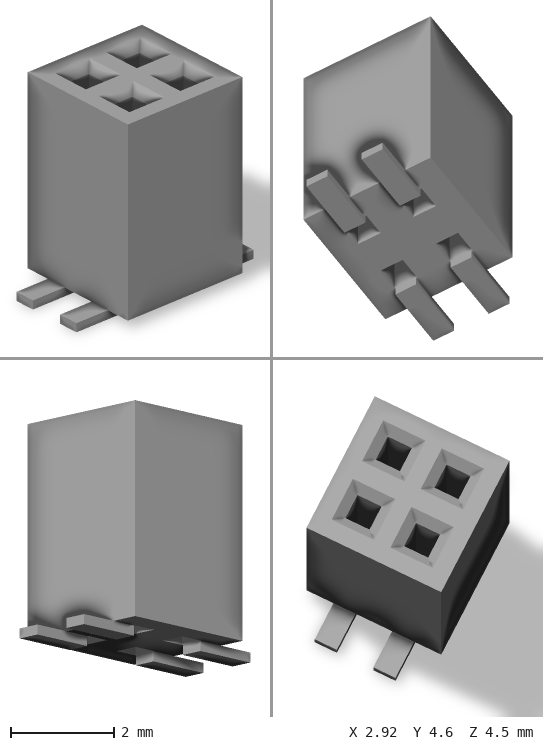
import cadquery as cq

body_x = 2.92
body_y = 2.97
body_height = 4.3

pitch_x = 1.27
pitch_y = 1.32
cavity_size = 0.52
mouth_size = 0.92
mouth_depth = 0.2

tail_width = 0.48
tail_length = 1.38
tail_thickness = 0.2
tail_span = 4.6

tail_center_y = (tail_span - tail_length) / 2
SIDES = (-1, 1)


def make_housing():
    """Plain block standing on top of the solder tails."""
    return (
        cq.Workplane("XY", origin=(0, 0, tail_thickness))
        .box(body_x, body_y, body_height, centered=(True, True, False))
    )


def make_cavity(x, y):
    """Square through hole with a funnel mouth at the top."""
    top = tail_thickness + body_height
    hole = (
        cq.Workplane("XY", origin=(x, y, 0))
        .box(cavity_size, cavity_size, top, centered=(True, True, False))
    )
    mouth = (
        cq.Workplane("XY", origin=(x, y, top - mouth_depth))
        .rect(cavity_size, cavity_size)
        .workplane(offset=mouth_depth)
        .rect(mouth_size, mouth_size)
        .loft(ruled=True)
    )
    return hole.union(mouth)


def make_tail(x, y):
    """Flat strip resting on the base plane."""
    return (
        cq.Workplane("XY", origin=(x, y, 0))
        .box(tail_width, tail_length, tail_thickness, centered=(True, True, False))
    )


result = make_housing()
for side_x in SIDES:
    for side_y in SIDES:
        x = side_x * pitch_x / 2
        result = result.cut(make_cavity(x, side_y * pitch_y / 2))
        result = result.union(make_tail(x, side_y * tail_center_y))